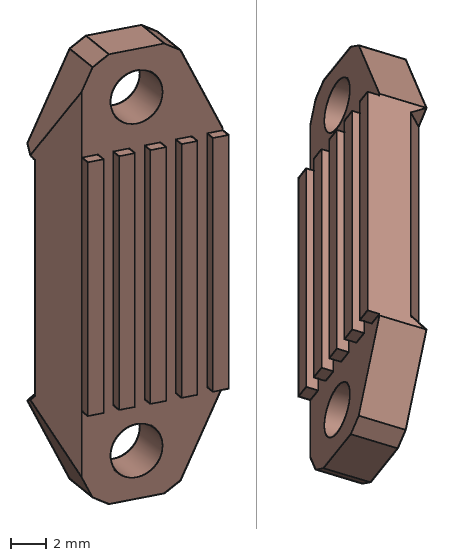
import cadquery as cq

length = 28.0
thickness = 3.0
half_width = 5.5
end_half_width = 1.75
shoulder_half_width = 2.8
shoulder_height = 13.38
widest_height = 8.0

hole_diameter = 3.3
hole_height = 11.0

edge_chamfer = 1.0
chamfer_half_length = 7.35

rib_count = 5
rib_pitch = 2.0
rib_width = 1.0
rib_depth = 0.75
rib_length = 15.8

bevel_front_y = -half_width + thickness - edge_chamfer
bevel_back_y = bevel_front_y - thickness


def make_plate():
    """Plate with tapered ends, reaching past -half_width so the bevel can trim it."""
    taper = (widest_height - shoulder_height) / (half_width - shoulder_half_width)
    corner_height = widest_height + taper * (-bevel_back_y - half_width)
    upper_outline = [
        (bevel_back_y, corner_height),
        (-shoulder_half_width, shoulder_height),
        (-end_half_width, length / 2),
        (end_half_width, length / 2),
        (shoulder_half_width, shoulder_height),
        (half_width, widest_height),
    ]
    lower_outline = [(y, -z) for y, z in reversed(upper_outline)]
    return cq.Workplane("YZ").polyline(upper_outline + lower_outline).close().extrude(thickness)


def make_side_bevel():
    """Wedge removed from the front of the -Y side."""
    return (
        cq.Workplane("XY")
        .polyline([(0, bevel_back_y), (thickness, bevel_front_y), (thickness, bevel_back_y)])
        .close()
        .extrude(length / 2, both=True)
    )


def make_edge_chamfer(side):
    """Cutter for one back edge; side is +1 for the +Y edge and -1 for the -Y edge.

    Its profile lies across the chamfer: it lengthens outward from the chamfer face,
    so both ends slope, reaching widest_height at the unchamfered plate edge.
    """
    face_to_edge = edge_chamfer / 2 ** 0.5
    outer_distance = 2 * face_to_edge
    outer_half_length = chamfer_half_length + 2 * (widest_height - chamfer_half_length)
    across_chamfer = cq.Plane(
        origin=(edge_chamfer / 2, side * (half_width - edge_chamfer / 2), 0),
        xDir=(-1, side, 0),
        normal=(1, side, 0),
    )
    return (
        cq.Workplane(across_chamfer)
        .polyline([
            (0, -chamfer_half_length),
            (outer_distance, -outer_half_length),
            (outer_distance, outer_half_length),
            (0, chamfer_half_length),
        ])
        .close()
        .extrude(2 * edge_chamfer, both=True)
    )


def make_holes():
    """Through holes, one near each end."""
    return (
        cq.Workplane("YZ")
        .pushPoints([(0, -hole_height), (0, hole_height)])
        .circle(hole_diameter / 2)
        .extrude(thickness)
    )


def make_ribs():
    """Evenly spaced ribs, the first flush with the +Y edge."""
    first_rib_y = half_width - rib_width / 2
    centers = [(first_rib_y - i * rib_pitch, 0) for i in range(rib_count)]
    return (
        cq.Workplane("YZ", origin=(thickness, 0, 0))
        .pushPoints(centers)
        .rect(rib_width, rib_length)
        .extrude(rib_depth)
    )


plate = make_plate().cut(make_side_bevel()).cut(make_holes())
for edge_side in (1, -1):
    plate = plate.cut(make_edge_chamfer(edge_side))

result = plate.union(make_ribs())